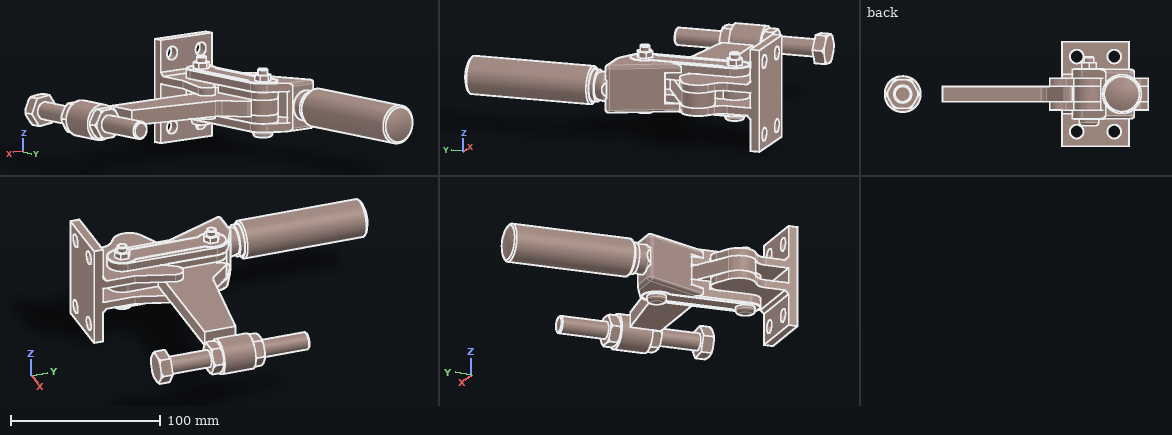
import cadquery as cq
import math


lower_pivot = (0.0, 27.0)
upper_pivot = (0.0, 90.8)
bolt_diameter = 6.5

arm_thickness = 10.5
cheek_thickness = 5.5
lever_width = 33.0
strap_rise = 0.5
arm_half = arm_thickness / 2
cheek_outer = arm_half + cheek_thickness
lever_half = lever_width / 2
strap_outer = lever_half + strap_rise

plate_right = 18.2
plate_width = 45.0
plate_height = 70.0
plate_thickness = 6.5
plate_left = plate_right - plate_width
mount_hole_diameter = 9.0
mount_spacing_x = 25.0
mount_spacing_z = 50.2
root_chamfer = 2.5

lobe_center = (-28.5, 42.9)
lobe_radius = 11.3
lobe_slope = 29.5
lobe_normal = 90 + lobe_slope

crest_center = (-19.2, 49.2)
crest_radius = 9.6
flank_radius = 9.5
flank_end = 23.0
finger_center = (20.5, 56.7)
finger_radius = 5.9
finger_inner_slope = 57.5
finger_foot = 29.3
valley_y = 37.7

arm_end = 98.1
arm_bottom = 49.0
arm_end_height = 22.2
arm_shoulder = (30.1, 80.3)
shoulder_radius = 6.3
tip_center = (15.0, 93.3)
tip_radius = 2.3
tip_slope = 48.0
tip_start_angle = 150.0
arm_neck_y = 74.3
arm_crotch = (-10.3, 45.2)
lobe_end_angle = -45.0
eye_start_angle = 150.0
arm_eye_radius = 10.3

lever_top = 108.8
web_top_x = -31.5
web_foot_y = 61.3
web_thickness = 1.7
leg_radius = 10.3
web_top = (web_top_x, lever_top)
web_foot = (-leg_radius, web_foot_y)
web_slope = (web_foot[0] - web_top[0]) / (web_top[1] - web_foot[1])
head_radius = 11.0
shoulder_normal = 63.4
bend_radius = 2.3
notch_top = 71.5
pad_bottom = 56.5
strap_end_radius = 9.8
strap_waist = 13.8

handle_x = -22.0
neck_radius = 10.3
neck_top_radius = 9.0
neck_flare_y = 109.6
collar_radius = 10.9
collar_bottom = 115.9
grip_radius = 13.0
grip_bottom = 119.0
grip_bottom_chamfer = 1.3
dome_base = 206.3
dome_radius = 11.7
grip_side_top = 205.0
handle_top = 209.2

pivot_nut_flats = 9.5
pivot_nut_height = 4.0
pivot_nut_turn = 30.0
pivot_bolt_top = 24.9
pivot_bolt_chamfer = 0.6
pivot_head_diameter = 13.2
pivot_head_height = 4.2
pivot_head_round = 2.3

spindle_x = 124.7
spindle_diameter = 12.0
spindle_bottom = 4.2
spindle_top = 112.1
spindle_end_chamfer = 0.8
sleeve_radius = 12.1
sleeve_length = arm_end_height
spindle_hex_flats = 19.2
spindle_nut_height = 7.3
spindle_head_height = 8.0
spindle_head_turn = 6.0
hex_chamfer = 1.0


def on_circle(center, radius, degrees):
    """Point of a circle in the direction of the given angle."""
    angle = math.radians(degrees)
    return (center[0] + radius * math.cos(angle), center[1] + radius * math.sin(angle))


def slab(outline, z_low, z_high):
    """Prism of a closed outline between two heights."""
    return outline.extrude(z_high - z_low).translate((0, 0, z_low))


def disc(center, radius, z_low, z_high):
    return slab(cq.Workplane("XY").center(*center).circle(radius), z_low, z_high)


def box(x_low, x_high, y_low, y_high, z_low, z_high):
    corner = (x_low, y_low, z_low)
    return cq.Workplane("XY").box(
        x_high - x_low, y_high - y_low, z_high - z_low, centered=False
    ).translate(corner)


def hexagon(flats, height, turn=0):
    """Hexagonal prism standing on Z = 0 with a corner on +X before it is turned."""
    corner_diameter = flats / math.cos(math.radians(30))
    prism = cq.Workplane("XY").polygon(6, corner_diameter).extrude(height)
    return prism.rotate((0, 0, 0), (0, 0, 1), turn)


def bolt_hole(pivot):
    return disc(pivot, bolt_diameter / 2, -strap_outer, strap_outer)


def cheek():
    """Side plate with the rear lobe, a crest, a valley and a front finger."""
    flank_center = (plate_left - flank_radius, flank_end)
    step_x = flank_center[0] - lobe_center[0]
    step_y = flank_center[1] - lobe_center[1]
    gap = math.hypot(step_x, step_y)
    lean = math.degrees(math.acos((lobe_radius + flank_radius) / gap))
    flank_normal = math.degrees(math.atan2(step_y, step_x)) - lean

    finger_left = on_circle(finger_center, finger_radius, 90 + finger_inner_slope)
    valley_x = finger_left[0] - (finger_left[1] - valley_y) / math.tan(math.radians(finger_inner_slope))
    foot = (plate_right, finger_foot)
    foot_distance = math.dist(finger_center, foot)
    foot_direction = math.degrees(math.atan2(foot[1] - finger_center[1], foot[0] - finger_center[0]))
    finger_right_normal = foot_direction + math.degrees(math.acos(finger_radius / foot_distance))

    outline = (
        cq.Workplane("XY")
        .moveTo(plate_left, plate_thickness)
        .lineTo(plate_left, flank_end)
        .threePointArc(
            on_circle(flank_center, flank_radius, (flank_normal + 180) / 2),
            on_circle(flank_center, flank_radius, flank_normal + 180),
        )
        .lineTo(*on_circle(lobe_center, lobe_radius, flank_normal))
        .threePointArc(
            on_circle(lobe_center, lobe_radius, 180),
            on_circle(lobe_center, lobe_radius, lobe_normal),
        )
        .lineTo(*on_circle(crest_center, crest_radius, lobe_normal))
        .threePointArc(
            on_circle(crest_center, crest_radius, lobe_normal / 2),
            on_circle(crest_center, crest_radius, 0),
        )
        .lineTo(valley_x, valley_y)
        .lineTo(*finger_left)
        .threePointArc(
            on_circle(finger_center, finger_radius, 90),
            on_circle(finger_center, finger_radius, finger_right_normal),
        )
        .lineTo(*foot)
        .lineTo(plate_right, plate_thickness)
        .close()
    )
    return slab(outline, arm_half, cheek_outer)


def make_base():
    plate = box(plate_left, plate_right, 0, plate_thickness, -plate_height / 2, plate_height / 2)
    holes = (
        cq.Workplane("XZ")
        .center((plate_left + plate_right) / 2, 0)
        .rarray(mount_spacing_x, mount_spacing_z, 2, 2)
        .circle(mount_hole_diameter / 2)
        .extrude(-plate_thickness)
    )
    root = (
        cq.Workplane("YZ")
        .moveTo(plate_thickness, cheek_outer)
        .lineTo(plate_thickness + root_chamfer, cheek_outer)
        .lineTo(plate_thickness, cheek_outer + root_chamfer)
        .close()
        .extrude(plate_width)
        .translate((plate_left, 0, 0))
    )
    side = cheek().union(root)
    base = plate.union(side).union(side.mirror("XY"))
    return base.cut(holes).cut(bolt_hole(lower_pivot))


def make_arm():
    """Clamping arm with the rear lobe, an eye on each pivot bolt and a tapering nose."""
    ramp_start = on_circle(lobe_center, lobe_radius, lobe_normal)
    ramp_end_x = ramp_start[0] + (arm_neck_y - ramp_start[1]) / math.tan(math.radians(lobe_slope))
    outline = (
        cq.Workplane("XY")
        .moveTo(*on_circle(lobe_center, lobe_radius, lobe_end_angle))
        .threePointArc(on_circle(lobe_center, lobe_radius, 180), ramp_start)
        .lineTo(ramp_end_x, arm_neck_y)
        .lineTo(*upper_pivot)
        .lineTo(head_radius, upper_pivot[1])
        .lineTo(*on_circle(tip_center, tip_radius, tip_start_angle))
        .threePointArc(
            on_circle(tip_center, tip_radius, 90),
            on_circle(tip_center, tip_radius, 90 - tip_slope),
        )
        .lineTo(*arm_shoulder)
        .lineTo(arm_end, arm_bottom + arm_end_height)
        .lineTo(arm_end, arm_bottom)
        .lineTo(arm_eye_radius, arm_bottom)
        .lineTo(arm_eye_radius, lower_pivot[1])
        .lineTo(*lower_pivot)
        .lineTo(*on_circle(lower_pivot, arm_eye_radius, eye_start_angle))
        .lineTo(*arm_crotch)
        .close()
    )
    arm = slab(outline, -arm_half, arm_half)
    shoulder = cq.selectors.NearestToPointSelector((*arm_shoulder, 0))
    arm = arm.edges(shoulder).fillet(shoulder_radius)
    for pivot in (lower_pivot, upper_pivot):
        arm = arm.union(disc(pivot, arm_eye_radius, -arm_half, arm_half))
    for pivot in (lower_pivot, upper_pivot):
        arm = arm.cut(bolt_hole(pivot))
    return arm


def lever_block():
    """Outer shape of the lever head and legs, rounded along its bent edges."""
    shoulder = on_circle(upper_pivot, head_radius, shoulder_normal)
    corner_x = shoulder[0] - (lever_top - shoulder[1]) * math.tan(math.radians(shoulder_normal))
    outline = (
        cq.Workplane("XY")
        .moveTo(*web_top)
        .lineTo(corner_x, lever_top)
        .lineTo(*shoulder)
        .threePointArc(
            on_circle(upper_pivot, head_radius, shoulder_normal / 2),
            on_circle(upper_pivot, head_radius, 0),
        )
        .lineTo(*on_circle(lower_pivot, leg_radius, 0))
        .threePointArc(
            on_circle(lower_pivot, leg_radius, -90),
            on_circle(lower_pivot, leg_radius, 180),
        )
        .lineTo(*web_foot)
        .close()
    )
    block = slab(outline, -lever_half, lever_half)
    web_middle = ((web_top[0] + web_foot[0]) / 2, (web_top[1] + web_foot[1]) / 2)
    top_middle = ((web_top[0] + corner_x) / 2, lever_top)
    bent_points = [(*web_top, 0)]
    for z in (-lever_half, lever_half):
        bent_points += [(*web_middle, z), (*top_middle, z)]
    bent_edges = [
        block.edges(cq.selectors.NearestToPointSelector(point)).val() for point in bent_points
    ]
    return block.newObject(bent_edges).fillet(bend_radius)


def lever_cavity():
    """Space between the legs, closed by the web and the end wall and open towards +X."""
    wall_x = web_thickness * math.hypot(1, web_slope)
    cavity_top = lever_top - web_thickness
    top_x = web_top[0] + wall_x + web_slope * web_thickness
    notch_inner_x = web_top[0] + wall_x + web_slope * (lever_top - notch_top)
    open_x = head_radius + leg_radius
    outline = (
        cq.Workplane("XY")
        .moveTo(top_x, cavity_top)
        .lineTo(open_x, cavity_top)
        .lineTo(open_x, 0)
        .lineTo(web_top_x, 0)
        .lineTo(web_top_x, notch_top)
        .lineTo(notch_inner_x, notch_top)
        .close()
    )
    return slab(outline, -cheek_outer, cheek_outer)


def pad():
    """Spacer on the inside of a leg, filling the gap to the arm at the upper pivot."""
    stem = box(-leg_radius, leg_radius, pad_bottom, upper_pivot[1], arm_half, cheek_outer)
    return stem.union(disc(upper_pivot, leg_radius, arm_half, cheek_outer))


def strap():
    """Low dog-bone rib on the outside of a leg."""
    rib = box(
        -strap_waist / 2, strap_waist / 2, lower_pivot[1], upper_pivot[1], lever_half, strap_outer
    )
    for pivot in (lower_pivot, upper_pivot):
        rib = rib.union(disc(pivot, strap_end_radius, lever_half, strap_outer))
    return rib


def handle():
    """Round handle on the lever head: barrel-shaped neck, collar and domed grip."""
    neck_rise = collar_bottom - neck_flare_y
    neck_inset = neck_radius - neck_top_radius
    neck_curve = (neck_rise**2 + neck_inset**2) / (2 * neck_inset)
    neck_mid_radius = neck_radius - neck_curve + math.sqrt(neck_curve**2 - (neck_rise / 2) ** 2)
    neck_foot = lever_top - web_thickness
    dome_sphere = (dome_radius**2 + (handle_top - dome_base) ** 2) / (2 * (handle_top - dome_base))
    dome_mid_radius = dome_radius / 2
    dome_drop = dome_sphere - math.sqrt(dome_sphere**2 - dome_mid_radius**2)
    profile = (
        cq.Workplane("XY")
        .moveTo(0, neck_foot)
        .lineTo(neck_radius, neck_foot)
        .lineTo(neck_radius, neck_flare_y)
        .threePointArc(
            (neck_mid_radius, neck_flare_y + neck_rise / 2), (neck_top_radius, collar_bottom)
        )
        .lineTo(collar_radius, collar_bottom)
        .lineTo(collar_radius, grip_bottom)
        .lineTo(grip_radius - grip_bottom_chamfer, grip_bottom)
        .lineTo(grip_radius, grip_bottom + grip_bottom_chamfer)
        .lineTo(grip_radius, grip_side_top)
        .lineTo(dome_radius, dome_base)
        .threePointArc((dome_mid_radius, handle_top - dome_drop), (0, handle_top))
        .close()
    )
    turned = profile.revolve(360, (0, 0, 0), (0, 1, 0)).translate((handle_x, 0, 0))
    return turned.cut(beyond_web())


def beyond_web():
    """Wedge in front of the web plane, which trims the neck flush with the web."""
    edge_x = web_top[0] - web_slope * (collar_bottom - lever_top)
    far_x = web_top[0] - 2 * neck_radius
    outline = (
        cq.Workplane("XY")
        .moveTo(*web_foot)
        .lineTo(edge_x, collar_bottom)
        .lineTo(far_x, collar_bottom)
        .lineTo(far_x, web_foot[1])
        .close()
    )
    return slab(outline, -lever_half, lever_half)


def make_lever():
    lever = lever_block().cut(lever_cavity()).union(handle())
    for side in (pad(), strap()):
        lever = lever.union(side).union(side.mirror("XY"))
    for pivot in (lower_pivot, upper_pivot):
        lever = lever.cut(bolt_hole(pivot))
    return lever


def make_pivot_bolt(pivot):
    """Round-headed bolt with its nut, lying along Z."""
    shank = disc((0, 0), bolt_diameter / 2, -strap_outer, pivot_bolt_top)
    shank = shank.faces(">Z").chamfer(pivot_bolt_chamfer)
    nut = hexagon(pivot_nut_flats, pivot_nut_height, pivot_nut_turn).translate((0, 0, strap_outer))
    head = disc((0, 0), pivot_head_diameter / 2, -strap_outer - pivot_head_height, -strap_outer)
    head = head.faces("<Z").edges().fillet(pivot_head_round)
    return shank.union(nut).union(head).translate((*pivot, 0))


def chamfered_hexagon(height, face, turn=0):
    """Hexagonal prism with the corners turned down at the selected end faces."""
    corner_radius = spindle_hex_flats / 2 / math.cos(math.radians(30))
    blank = cq.Workplane("XY").circle(corner_radius).extrude(height).faces(face).chamfer(hex_chamfer)
    return hexagon(spindle_hex_flats, height, turn).intersect(blank)


def make_spindle():
    """Hexagon-headed spindle with a sleeve held between two nuts, built upright along Z."""
    sleeve_top = arm_bottom + sleeve_length
    shank = disc((0, 0), spindle_diameter / 2, spindle_bottom, spindle_top)
    shank = shank.faces(">Z").chamfer(spindle_end_chamfer)
    head = chamfered_hexagon(spindle_head_height, "<Z", spindle_head_turn)
    spindle = shank.union(head.translate((0, 0, spindle_bottom)))
    spindle = spindle.union(disc((0, 0), sleeve_radius, arm_bottom, sleeve_top))
    for nut_bottom in (arm_bottom - spindle_nut_height, sleeve_top):
        nut = chamfered_hexagon(spindle_nut_height, "<Z or >Z")
        spindle = spindle.union(nut.translate((0, 0, nut_bottom)))
    return spindle.rotate((0, 0, 0), (1, 0, 0), -90).translate((spindle_x, 0, 0))


base = make_base()
arm = make_arm()
lever = make_lever()
pivot_bolts = [make_pivot_bolt(pivot) for pivot in (lower_pivot, upper_pivot)]
spindle = make_spindle()

result = cq.Compound.makeCompound(
    [body.solids().val() for body in (base, arm, lever, *pivot_bolts, spindle)]
)